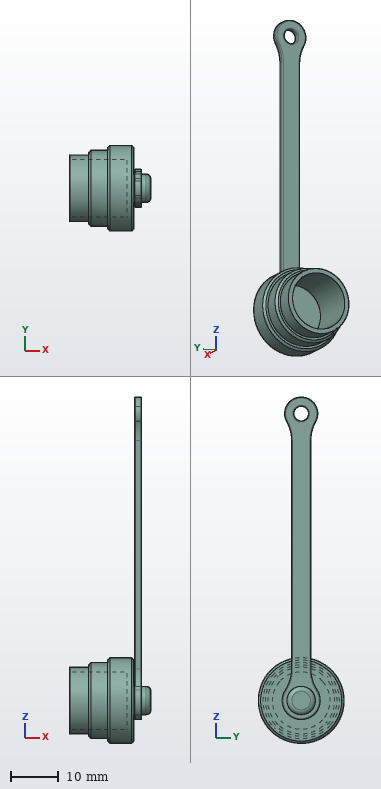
import cadquery as cq
import math

SLEEVE_RADIUS = 14.0 / 2
COLLAR_RADIUS = 8.0
HEAD_RADIUS = 9.0
COLLAR_START = 4.0
HEAD_START = 8.0
HEAD_END = 13.5
STEP_CHAMFER = 0.5
BORE_RADIUS = 6.0
BORE_DEPTH = 12.0

KNOB_RADIUS = 3.0
KNOB_END = 17.0
KNOB_ROUND = 1.0

STRAP_GAP = 0.15
STRAP_START = HEAD_END + STRAP_GAP
STRAP_THICKNESS = 1.45
STRAP_WIDTH = 4.05
STRAP_EDGE_ROUND = 0.2
LOWER_EYE_RADIUS = 4.0
UPPER_EYE_RADIUS = 3.5
NECK_RADIUS = 8.0
UPPER_HOLE_RADIUS = 1.5
TOTAL_HEIGHT = 72.5
UPPER_EYE_Z = TOTAL_HEIGHT - HEAD_RADIUS - UPPER_EYE_RADIUS


def cylinder_x(radius, start, end):
    """Cylinder around the X axis from start to end."""
    return cq.Workplane("YZ", origin=(start, 0, 0)).circle(radius).extrude(end - start)


def make_cap():
    """Stepped cup with chamfered steps, a blind bore and a rounded knob."""
    sleeve = cylinder_x(SLEEVE_RADIUS, 0, COLLAR_START)
    collar = cylinder_x(COLLAR_RADIUS, COLLAR_START, HEAD_START).faces("<X").chamfer(STEP_CHAMFER)
    head = cylinder_x(HEAD_RADIUS, HEAD_START, HEAD_END).faces("<X or >X").chamfer(STEP_CHAMFER)
    knob = cylinder_x(KNOB_RADIUS, HEAD_END, KNOB_END).faces(">X").edges().fillet(KNOB_ROUND)
    bore = cylinder_x(BORE_RADIUS, 0, BORE_DEPTH)
    return sleeve.union(collar).union(head).union(knob).cut(bore)


def neck_points(eye_radius):
    """Points of the concave arc tangent to an eye and to the bar's side.

    Each point is (distance from the centre line, distance from the eye centre along the bar):
    the end on the eye, the middle of the arc and the end on the bar.
    """
    centre_y = STRAP_WIDTH / 2 + NECK_RADIUS
    centre_z = math.sqrt((eye_radius + NECK_RADIUS) ** 2 - centre_y**2)
    eye_angle = math.atan2(centre_z, centre_y)

    def arc_point(angle):
        return (centre_y - NECK_RADIUS * math.cos(angle), centre_z - NECK_RADIUS * math.sin(angle))

    return arc_point(eye_angle), arc_point(eye_angle / 2), arc_point(0)


def make_strap():
    """Bar with two eyes, drilled in both eyes and rounded along its edges except at the knob hole."""
    low_eye, low_mid, low_bar = neck_points(LOWER_EYE_RADIUS)
    up_eye, up_mid, up_bar = [(y, UPPER_EYE_Z - z) for y, z in neck_points(UPPER_EYE_RADIUS)]

    def mirrored(point):
        return (-point[0], point[1])

    strap = (
        cq.Workplane("YZ", origin=(STRAP_START, 0, 0))
        .moveTo(*low_eye)
        .threePointArc(low_mid, low_bar)
        .lineTo(*up_bar)
        .threePointArc(up_mid, up_eye)
        .threePointArc((0, UPPER_EYE_Z + UPPER_EYE_RADIUS), mirrored(up_eye))
        .threePointArc(mirrored(up_mid), mirrored(up_bar))
        .lineTo(*mirrored(low_bar))
        .threePointArc(mirrored(low_mid), mirrored(low_eye))
        .threePointArc((0, -LOWER_EYE_RADIUS), low_eye)
        .close()
        .extrude(STRAP_THICKNESS)
    )
    strap_end = STRAP_START + STRAP_THICKNESS
    upper_hole = cylinder_x(UPPER_HOLE_RADIUS, STRAP_START, strap_end).translate((0, 0, UPPER_EYE_Z))
    rounded_strap = strap.cut(upper_hole).faces("<X or >X").edges().fillet(STRAP_EDGE_ROUND)
    knob_hole = cylinder_x(KNOB_RADIUS, STRAP_START, strap_end)
    return rounded_strap.cut(knob_hole)


cap = make_cap()
strap = make_strap()
result = cq.Compound.makeCompound([cap.val(), strap.val()])